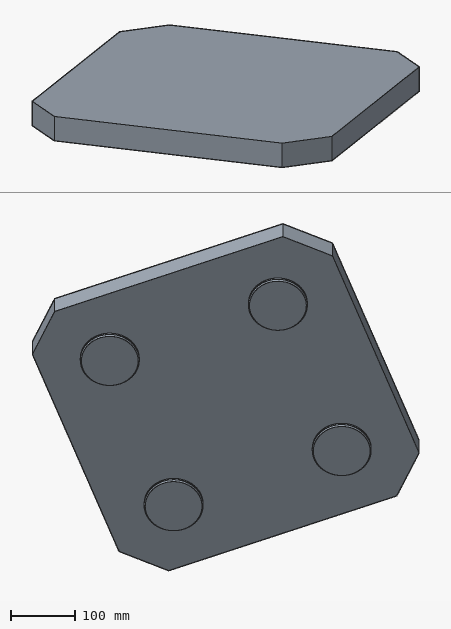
import cadquery as cq

slab_side = 500.0
slab_height = 40.0
corner_cut = 60.0

foot_diameter = 92.0
foot_height = 7.0
foot_bevel_height = 3.0
foot_bevel_width = 1.75
foot_spacing = 280.0


def make_slab():
    """Square plate standing on Z = 0, with bevelled upright corners."""
    plate = cq.Workplane("XY").box(slab_side, slab_side, slab_height, centered=(True, True, False))
    return plate.edges("|Z").chamfer(corner_cut)


def make_foot(x, y):
    """Disc hanging from the underside of the slab at (x, y)."""
    disc = cq.Workplane("XY").center(x, y).circle(foot_diameter / 2).extrude(-foot_height)
    return disc.faces("<Z").edges().chamfer(foot_bevel_height, foot_bevel_width)


slab = make_slab()

foot_offset = foot_spacing / 2
feet = []
for x in (-foot_offset, foot_offset):
    for y in (-foot_offset, foot_offset):
        feet.append(make_foot(x, y).val())

result = cq.Compound.makeCompound([slab.val(), *feet])